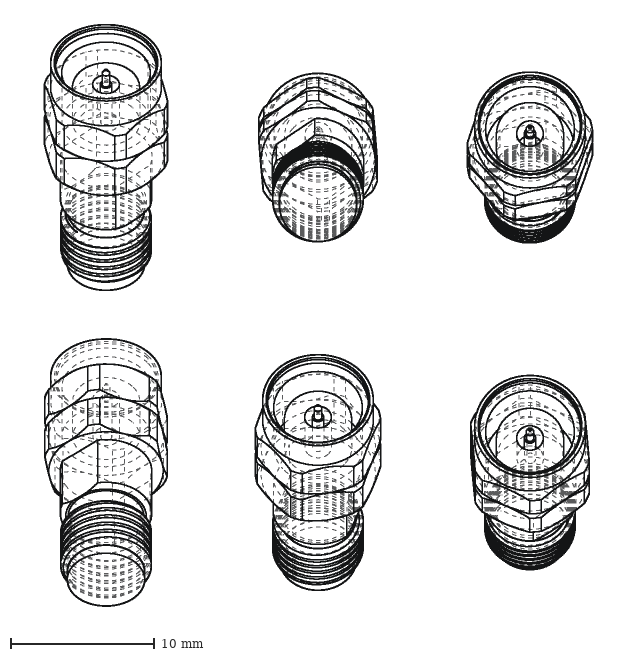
import cadquery as cq
import math

TIP_LENGTH = 0.8
THREAD_LENGTH = 4.25
NECK_LENGTH = 0.98
BODY_LENGTH = 4.37
NUT_LENGTH = 3.3
COLLAR_LENGTH = 2.4

THREAD_BOTTOM = TIP_LENGTH
NECK_BOTTOM = THREAD_BOTTOM + THREAD_LENGTH
BODY_BOTTOM = NECK_BOTTOM + NECK_LENGTH
LOWER_NUT_BOTTOM = BODY_BOTTOM + BODY_LENGTH
UPPER_NUT_BOTTOM = LOWER_NUT_BOTTOM + NUT_LENGTH
COLLAR_BOTTOM = UPPER_NUT_BOTTOM + NUT_LENGTH
TOP = COLLAR_BOTTOM + COLLAR_LENGTH

TIP_DIAMETER = 5.42
NECK_DIAMETER = 5.3
BODY_DIAMETER = 6.4
BODY_ACROSS_FLATS = 5.5
BODY_CHAMFER_HEIGHT = 0.3
BODY_CHAMFER_WIDTH = 0.38
NUT_ACROSS_FLATS = 8.0
NUT_CORNER_DIAMETER = 8.8
COLLAR_DIAMETER = 7.75

THREAD_DIAMETER = 6.35
THREAD_PITCH = 0.69
THREAD_TAPER = 0.5
GROOVE_DEPTH = 0.37
GROOVE_FLANK_ANGLE = 30.0
GROOVE_REFERENCE_Z = 3.71
GROOVE_OVERCUT = 0.1

MOUTH_DIAMETER = 7.05
MOUTH_CHAMFER = 0.1
MOUTH_DEPTH = 0.53
BORE_DIAMETER = 6.2
BORE_FLOOR = UPPER_NUT_BOTTOM

SLEEVE_TOP = TOP - 2.08
SLEEVE_DIAMETER = 4.7
SLEEVE_HOLE_DIAMETER = 1.86
SLEEVE_FILLET = 0.3
PIN_BASE_DIAMETER = 0.78
PIN_DIAMETER = 0.54
PIN_TIP_DIAMETER = 0.14
PIN_TOP = TOP - 0.68
PIN_CONE_HEIGHT = 0.34


def cylinder(diameter, bottom, top):
    """Cylinder on the Z axis between two heights."""
    return cq.Workplane("XY", origin=(0, 0, bottom)).circle(diameter / 2).extrude(top - bottom)


def revolved(profile):
    """Solid of revolution about Z from (radius, height) points."""
    return cq.Workplane("XZ").polyline(profile).close().revolve(360, (0, 0), (0, 1))


def thread_groove():
    """Helical cutter long enough to run out through both tapered thread ends."""
    turns_below = math.ceil((GROOVE_REFERENCE_Z - THREAD_BOTTOM) / THREAD_PITCH)
    start = GROOVE_REFERENCE_Z - turns_below * THREAD_PITCH
    height = NECK_BOTTOM + THREAD_PITCH / 2 - start
    root_radius = THREAD_DIAMETER / 2 - GROOVE_DEPTH
    outer_radius = THREAD_DIAMETER / 2 + GROOVE_OVERCUT
    outer_half = (outer_radius - root_radius) * math.tan(math.radians(GROOVE_FLANK_ANGLE))
    helix = cq.Wire.makeHelix(THREAD_PITCH, height, root_radius)
    section = [
        (root_radius, 0),
        (outer_radius, outer_half),
        (outer_radius, -outer_half),
    ]
    groove = cq.Workplane("XZ").polyline(section).close().sweep(cq.Workplane(obj=helix), isFrenet=True)
    return groove.translate((0, 0, start))


def threaded_section():
    """Thread blank with 45 degree ends, cut by the helical groove."""
    radius = THREAD_DIAMETER / 2
    end_radius = radius - THREAD_TAPER
    blank = revolved([
        (0, THREAD_BOTTOM),
        (end_radius, THREAD_BOTTOM),
        (radius, THREAD_BOTTOM + THREAD_TAPER),
        (radius, NECK_BOTTOM - THREAD_TAPER),
        (end_radius, NECK_BOTTOM),
        (0, NECK_BOTTOM),
    ])
    return blank.cut(thread_groove())


def body():
    """Round body with two flats facing -X and +X and a chamfered lower edge."""
    radius = BODY_DIAMETER / 2
    barrel = revolved([
        (0, BODY_BOTTOM),
        (radius - BODY_CHAMFER_WIDTH, BODY_BOTTOM),
        (radius, BODY_BOTTOM + BODY_CHAMFER_HEIGHT),
        (radius, LOWER_NUT_BOTTOM),
        (0, LOWER_NUT_BOTTOM),
    ])
    flats = cq.Workplane("XY", origin=(0, 0, BODY_BOTTOM)).rect(BODY_ACROSS_FLATS, BODY_DIAMETER)
    return barrel.intersect(flats.extrude(BODY_LENGTH))


def hex_nut(bottom, top_diameter):
    """Hexagon with flats facing +-X, corners turned round and ends chamfered at 45 degrees."""
    top = bottom + NUT_LENGTH
    corner_radius = NUT_CORNER_DIAMETER / 2
    bottom_radius = NUT_ACROSS_FLATS / 2
    top_radius = top_diameter / 2
    turned = revolved([
        (0, bottom),
        (bottom_radius, bottom),
        (corner_radius, bottom + corner_radius - bottom_radius),
        (corner_radius, top - corner_radius + top_radius),
        (top_radius, top),
        (0, top),
    ])
    sharp_diameter = NUT_ACROSS_FLATS / math.cos(math.pi / 6)
    hexagon = cq.Workplane("XY", origin=(0, 0, bottom)).polygon(6, sharp_diameter).extrude(NUT_LENGTH)
    return turned.intersect(hexagon.rotate((0, 0, 0), (0, 0, 1), 30))


def socket():
    """Open space of the collar: chamfered mouth, 45 degree step and deep bore."""
    mouth_radius = MOUTH_DIAMETER / 2
    bore_radius = BORE_DIAMETER / 2
    return revolved([
        (0, BORE_FLOOR),
        (bore_radius, BORE_FLOOR),
        (bore_radius, TOP - MOUTH_DEPTH - (mouth_radius - bore_radius)),
        (mouth_radius, TOP - MOUTH_DEPTH),
        (mouth_radius, TOP - MOUTH_CHAMFER),
        (mouth_radius + MOUTH_CHAMFER, TOP),
        (0, TOP),
    ])


def sleeve():
    """Tube standing on the socket floor with a rounded upper rim."""
    tube = cylinder(SLEEVE_DIAMETER, BORE_FLOOR, SLEEVE_TOP).faces(">Z").edges().fillet(SLEEVE_FILLET)
    return tube.cut(cylinder(SLEEVE_HOLE_DIAMETER, BORE_FLOOR, SLEEVE_TOP))


def contact_pin():
    """Stepped pin with a conical tip."""
    return revolved([
        (0, BORE_FLOOR),
        (PIN_BASE_DIAMETER / 2, BORE_FLOOR),
        (PIN_BASE_DIAMETER / 2, SLEEVE_TOP),
        (PIN_DIAMETER / 2, SLEEVE_TOP),
        (PIN_DIAMETER / 2, PIN_TOP - PIN_CONE_HEIGHT),
        (PIN_TIP_DIAMETER / 2, PIN_TOP),
        (0, PIN_TOP),
    ])


tip = cylinder(TIP_DIAMETER, 0, THREAD_BOTTOM)
neck = cylinder(NECK_DIAMETER, NECK_BOTTOM, BODY_BOTTOM)
collar = cylinder(COLLAR_DIAMETER, COLLAR_BOTTOM, TOP)
lower_nut = hex_nut(LOWER_NUT_BOTTOM, NUT_ACROSS_FLATS)
upper_nut = hex_nut(UPPER_NUT_BOTTOM, COLLAR_DIAMETER)

shell = tip.union(threaded_section()).union(neck).union(body())
shell = shell.union(lower_nut).union(upper_nut).union(collar)
result = shell.cut(socket()).union(sleeve()).union(contact_pin())